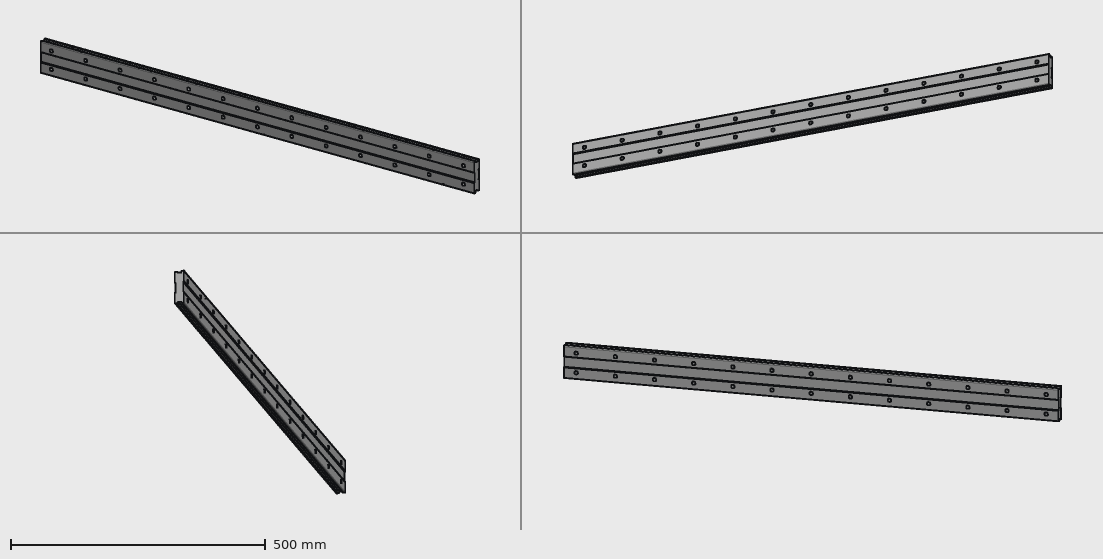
import cadquery as cq
import math

length = 1010.0
thickness = 19.0
height = 69.0

web_thickness = 16.0
recess_floor_height = 20.0

groove_depth = 3.0
groove_floor_front_y = -3.2
groove_floor_back_y = 2.0
front_wall_angle = 60.0
back_wall_angle = 40.0
back_lip_drop = 0.5

front_lip_radius = 0.8
back_lip_radius = 2.0

hole_diameter = 7.0
hole_pitch = 80.0
holes_per_row = 13
row_spacing = 40.0

half_height = height / 2
half_thickness = thickness / 2
half_web = web_thickness / 2
half_recess_floor = recess_floor_height / 2
half_recess_mouth = half_recess_floor + half_thickness - half_web

groove_floor_z = half_height - groove_depth
back_lip_z = half_height - back_lip_drop
front_wall_run = groove_depth / math.tan(math.radians(front_wall_angle))
back_wall_run = (groove_depth - back_lip_drop) / math.tan(math.radians(back_wall_angle))


def make_bar_along_x(profile):
    """Full-length bar whose section has the given (y, z) corners."""
    return cq.Workplane("YZ").polyline(profile).close().extrude(length / 2, both=True)


def make_edge_groove(side):
    """Groove and the relief above the back lip, on one edge (-1 bottom, 1 top)."""
    return make_bar_along_x([
        (groove_floor_front_y - front_wall_run, side * half_height),
        (groove_floor_front_y, side * groove_floor_z),
        (groove_floor_back_y, side * groove_floor_z),
        (groove_floor_back_y + back_wall_run, side * back_lip_z),
        (half_thickness, side * back_lip_z),
        (half_thickness, side * half_height),
    ])


def make_face_recess(side):
    """Long recess in one broad face (-1 front, 1 back)."""
    return make_bar_along_x([
        (side * half_web, -half_recess_floor),
        (side * half_web, half_recess_floor),
        (side * half_thickness, half_recess_mouth),
        (side * half_thickness, -half_recess_mouth),
    ])


def make_hole_cutters():
    """Cylinders through the thickness for both rows of holes."""
    centres = cq.Workplane("XZ").rarray(hole_pitch, row_spacing, holes_per_row, 2)
    return centres.circle(hole_diameter / 2).extrude(half_thickness, both=True)


rail = cq.Workplane("XY").box(length, thickness, height)
for side in (-1, 1):
    rail = rail.cut(make_edge_groove(side))

rail = rail.edges("|X and <Y").fillet(front_lip_radius)
rail = rail.edges("|X and >Y").fillet(back_lip_radius)

for side in (-1, 1):
    rail = rail.cut(make_face_recess(side))

result = rail.cut(make_hole_cutters())